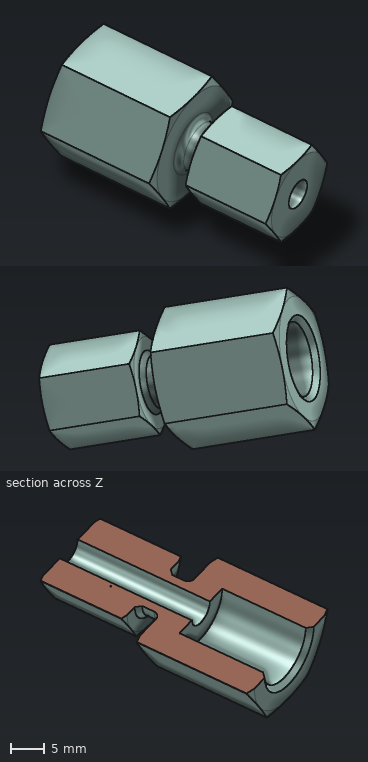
import cadquery as cq
import math

total_length = 40.0
large_hex_length = 20.7
small_hex_start = 24.7

large_across_flats = 19.0
small_across_flats = 14.0
corner_chamfer_angle = 15.0

neck_diameter = 8.15
neck_fillet_radius = 1.1
neck_cone_diameter = 9.8

through_diameter = 4.8
bore_diameter = 11.45
bore_mouth_diameter = 13.2
bore_depth = 16.0

small_hex_length = total_length - small_hex_start
neck_radius = neck_diameter / 2
neck_cone_radius = neck_cone_diameter / 2
neck_cone_length = neck_cone_radius - neck_radius
bore_radius = bore_diameter / 2
bore_mouth_radius = bore_mouth_diameter / 2
bore_chamfer = bore_mouth_radius - bore_radius


def revolve_about_x(profile):
    """Turn a closed (x, radius) profile into a solid around the X axis."""
    return profile.close().revolve(360, (0, 0, 0), (1, 0, 0))


def chamfered_hex(start, length, across_flats):
    """Hexagonal bar along X, corners on +/-Y, with conically turned ends."""
    flat_radius = across_flats / 2
    corner_radius = flat_radius / math.cos(math.radians(30))
    chamfer_length = (corner_radius - flat_radius) * math.tan(math.radians(corner_chamfer_angle))
    end = start + length
    bar = (
        cq.Workplane("YZ", origin=(start, 0, 0))
        .polygon(6, 2 * corner_radius)
        .extrude(length)
    )
    envelope = revolve_about_x(
        cq.Workplane("XY")
        .moveTo(start, 0)
        .lineTo(start, flat_radius)
        .lineTo(start + chamfer_length, corner_radius)
        .lineTo(end - chamfer_length, corner_radius)
        .lineTo(end, flat_radius)
        .lineTo(end, 0)
    )
    return bar.intersect(envelope)


def neck():
    """Round neck, filleted into the large hexagon and coned into the small one."""
    fillet_end = large_hex_length + neck_fillet_radius
    fillet_top = neck_radius + neck_fillet_radius
    arc_offset = neck_fillet_radius * (1 - math.sqrt(0.5))
    return revolve_about_x(
        cq.Workplane("XY")
        .moveTo(large_hex_length, 0)
        .lineTo(large_hex_length, fillet_top)
        .threePointArc(
            (large_hex_length + arc_offset, neck_radius + arc_offset),
            (fillet_end, neck_radius),
        )
        .lineTo(small_hex_start - neck_cone_length, neck_radius)
        .lineTo(small_hex_start, neck_cone_radius)
        .lineTo(small_hex_start, 0)
    )


def bores():
    """Chamfered blind bore in the large hexagon plus the axial through hole."""
    blind_bore = revolve_about_x(
        cq.Workplane("XY")
        .moveTo(0, 0)
        .lineTo(0, bore_mouth_radius)
        .lineTo(bore_chamfer, bore_radius)
        .lineTo(bore_depth, bore_radius)
        .lineTo(bore_depth, 0)
    )
    through_hole = cq.Workplane("YZ").circle(through_diameter / 2).extrude(total_length)
    return blind_bore.union(through_hole)


large_hex = chamfered_hex(0, large_hex_length, large_across_flats)
small_hex = chamfered_hex(small_hex_start, small_hex_length, small_across_flats)
result = large_hex.union(neck()).union(small_hex).cut(bores())